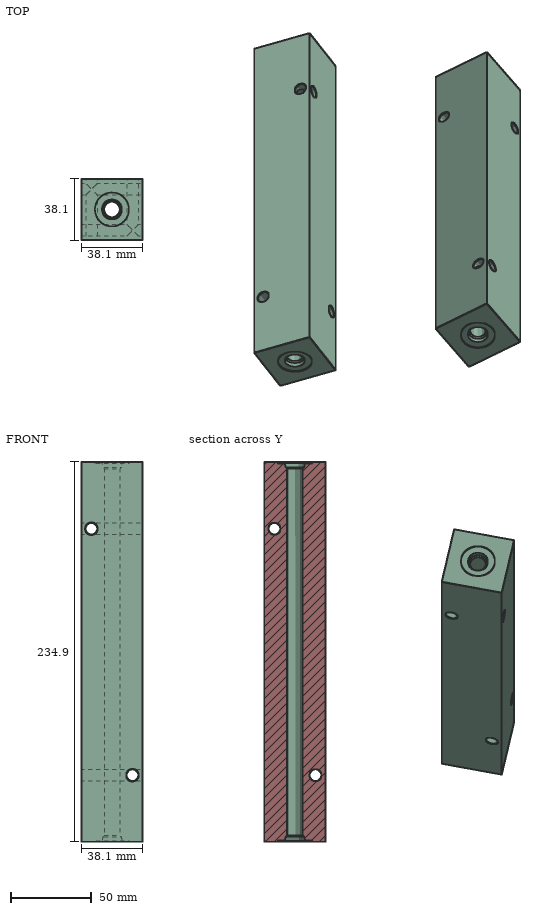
import cadquery as cq
import math

width = 38.1
length = 234.95
edge_chamfer = 0.254

mount_hole_diameter = 7.14
mount_hole_chamfer = 0.4
mount_hole_offset = 12.7
mount_hole_height = 76.2

bore_diameter = 9.525
spotface_diameter = 21.0
spotface_depth = 0.8
seat_diameter = 12.4
seat_angle = 12.0
seat_depth = 2.4


def make_bar():
    return cq.Workplane("XY").box(width, width, length).edges().chamfer(edge_chamfer)


def make_main_bore():
    return cq.Workplane("XY").circle(bore_diameter / 2).extrude(length / 2, both=True)


def make_top_port():
    """Spotface, conical seat and lead-in to the bore, as one revolved cutter."""
    top_z = length / 2
    spotface_radius = spotface_diameter / 2
    spotface_z = top_z - spotface_depth
    seat_radius = seat_diameter / 2
    seat_end_radius = seat_radius - seat_depth * math.tan(math.radians(seat_angle))
    seat_end_z = spotface_z - seat_depth
    bore_radius = bore_diameter / 2
    lead_in_end_z = seat_end_z - (seat_end_radius - bore_radius)
    profile = [
        (0, top_z),
        (spotface_radius, top_z),
        (spotface_radius, spotface_z),
        (seat_radius, spotface_z),
        (seat_end_radius, seat_end_z),
        (bore_radius, lead_in_end_z),
        (0, lead_in_end_z),
    ]
    return cq.Workplane("XZ").polyline(profile).close().revolve(360, (0, 0), (0, 1))


def make_mount_hole():
    """A through hole along Z with a chamfered mouth at both ends."""
    hole_radius = mount_hole_diameter / 2
    mouth_radius = hole_radius + mount_hole_chamfer
    end_z = width / 2
    chamfer_z = end_z - mount_hole_chamfer
    profile = [
        (0, -end_z),
        (mouth_radius, -end_z),
        (hole_radius, -chamfer_z),
        (hole_radius, chamfer_z),
        (mouth_radius, end_z),
        (0, end_z),
    ]
    return cq.Workplane("XZ").polyline(profile).close().revolve(360, (0, 0), (0, 1))


def cut_mount_holes(body):
    """Two holes along Y and two along X, each pair set on a diagonal of its face."""
    hole_along_y = make_mount_hole().rotate((0, 0, 0), (1, 0, 0), 90)
    hole_along_x = make_mount_hole().rotate((0, 0, 0), (0, 1, 0), 90)
    for end in (1, -1):
        offset = end * mount_hole_offset
        height = end * mount_hole_height
        body = body.cut(hole_along_y.translate((-offset, 0, height)))
        body = body.cut(hole_along_x.translate((0, offset, height)))
    return body


top_port = make_top_port()
bottom_port = top_port.mirror("XY")

bored_bar = make_bar().cut(make_main_bore()).cut(top_port).cut(bottom_port)
result = cut_mount_holes(bored_bar)